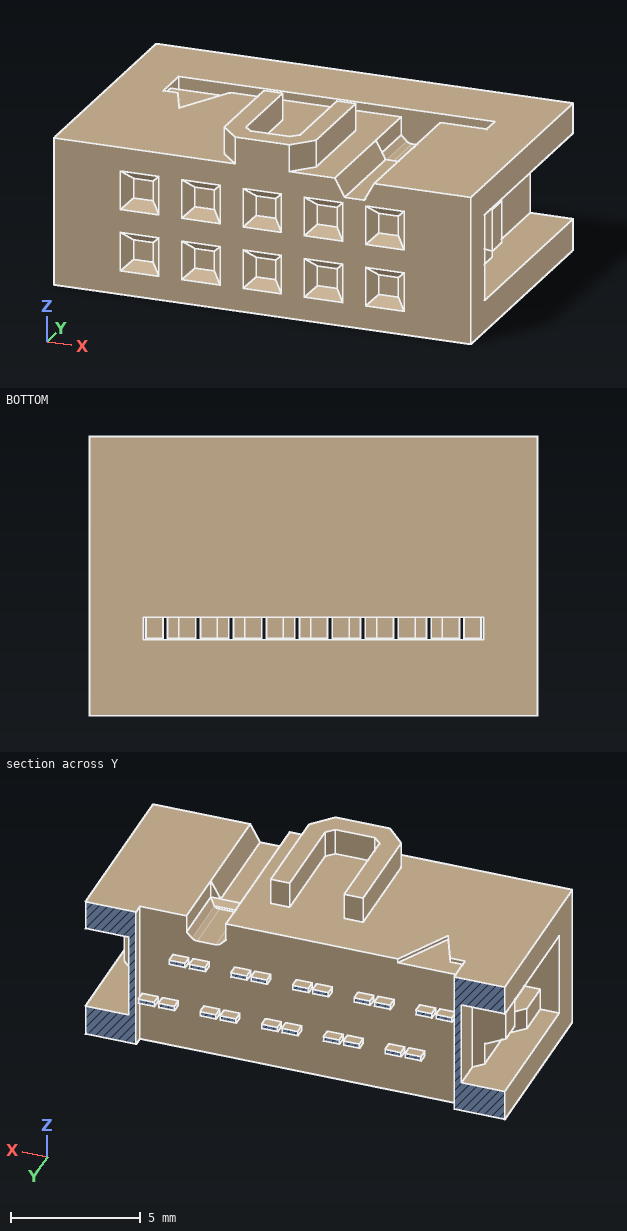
import cadquery as cq
import math

length = 17.3
width = 10.8
body_height = 6.09
overall_height = 7.2

pitch = 2.55
columns = 5
rows = 2
socket_mouth = 1.6
socket_floor = 0.81
socket_depth = (socket_mouth - socket_floor) / 2
column_xs = [(i - (columns - 1) / 2) * pitch for i in range(columns)]
row_zs = [body_height / 2 + (i - (rows - 1) / 2) * pitch for i in range(rows)]

key_width = 3.8
key_length = 5.02
key_leg = 0.78
key_web = 0.83
key_inner_chamfer = 0.31

slot_length = 13.11
slot_front = 6.99
slot_back = 7.85

fork_width = 1.49
fork_slit = 0.17
fork_tip_gap = 0.05
fork_thickness = 0.2
fork_spacing = 2.08
fork_root = 0.17

mark_depth = 0.17
mark_left = -slot_length / 2
mark_shoulder = 0.6
mark_shoulder_y = 6.23
mark_tip = (-5.31, 4.75)
mark_right = -4.08

groove_x = 3.82
groove_top = 1.63
groove_floor = 0.81
groove_depth = 0.75
trough_front = 4.32
trough_wall = groove_depth
trough_chamfer = 0.22
trough_arc_width = 0.2
trough_arc_angle = math.radians(45)

recess_front = 1.45
recess_bottom = 1.3
recess_height = 3.55
window_bottom = 2.21
window_height = 1.73
rear_depth = 1.78
middle_depth = 1.42
front_depth = 0.78
latch_y = 6.23
catch_front = 4.25
catch_undercut = 0.17
block_rear = 3.56
relief_width = 0.14
relief_depth = 0.17


def make_key():
    half = key_width / 2
    inner = half - key_leg
    outline = [
        (-inner, 0),
        (inner, 0),
        (half, key_web),
        (half, key_length),
        (inner, key_length),
        (inner, key_web + key_inner_chamfer),
        (inner - key_inner_chamfer, key_web),
        (key_inner_chamfer - inner, key_web),
        (-inner, key_web + key_inner_chamfer),
        (-inner, key_length),
        (-half, key_length),
        (-half, key_web),
    ]
    return cq.Workplane("XY").polyline(outline).close().extrude(overall_height)


def make_socket(x, z):
    return (
        cq.Workplane("XZ", origin=(x, 0, z))
        .rect(socket_mouth, socket_mouth)
        .workplane(offset=-socket_depth)
        .rect(socket_floor, socket_floor)
        .loft(ruled=True)
    )


def make_slot():
    depth = slot_back - slot_front
    slot = cq.Workplane("XY").box(slot_length, depth, body_height, centered=(True, False, False))
    return slot.translate((0, slot_front, 0))


def make_fork(x, z):
    tip = slot_back - fork_tip_gap
    reach = tip - slot_front
    plate = cq.Workplane("XY").box(fork_width, reach + fork_root, fork_thickness)
    plate = plate.translate((x, tip - (reach + fork_root) / 2, z))
    slit = cq.Workplane("XY").box(fork_slit, reach, fork_thickness).translate((x, slot_front + reach / 2, z))
    return plate.cut(slit)


def make_mark():
    outline = [
        (mark_left, slot_front),
        (mark_left, mark_shoulder_y),
        (mark_left + mark_shoulder, mark_shoulder_y),
        mark_tip,
        (mark_right, slot_front),
    ]
    return cq.Workplane("XY", origin=(0, 0, body_height)).polyline(outline).close().extrude(-mark_depth)


def make_groove():
    outline = [
        (-groove_top / 2, 0),
        (groove_top / 2, 0),
        (groove_floor / 2, -groove_depth),
        (-groove_floor / 2, -groove_depth),
    ]
    front = cq.Workplane("XZ", origin=(groove_x, 0, body_height))
    return front.polyline(outline).close().extrude(-slot_front)


def make_trough():
    """Straight-walled pocket, mitred below, whose floor meets the 45 degree flanks in tangent arcs."""
    trough_length = slot_front - trough_front
    half = groove_top / 2
    flank = half - trough_chamfer
    floor = flank - trough_arc_width
    radius = trough_arc_width / math.sin(trough_arc_angle)
    flank_z = -trough_wall - trough_chamfer
    floor_z = flank_z - radius * (1 - math.cos(trough_arc_angle))
    mid_x = floor + radius * math.sin(trough_arc_angle / 2)
    mid_z = floor_z + radius * (1 - math.cos(trough_arc_angle / 2))
    section = (
        cq.Workplane("XZ", origin=(groove_x, trough_front, body_height))
        .moveTo(-half, 0)
        .lineTo(half, 0)
        .lineTo(half, -trough_wall)
        .lineTo(flank, flank_z)
        .threePointArc((mid_x, mid_z), (floor, floor_z))
        .lineTo(-floor, floor_z)
        .threePointArc((-mid_x, mid_z), (-flank, flank_z))
        .lineTo(-half, -trough_wall)
        .close()
        .extrude(-trough_length)
    )
    end_profile = [
        (trough_front, 0),
        (slot_front, 0),
        (slot_front, floor_z),
        (trough_front + trough_chamfer, floor_z),
        (trough_front + trough_chamfer, flank_z),
        (trough_front, -trough_wall),
    ]
    side = cq.Workplane("YZ", origin=(groove_x - half, 0, body_height))
    end_shape = side.polyline(end_profile).close().extrude(groove_top)
    return section.intersect(end_shape)


def make_latch_recess():
    """Recess for the -X end face, stepped in depth along Y by 45 degree ramps.

    A central window deepens its front part, and an undercut catch stands in the window.
    """
    face = -length / 2
    rear = face + rear_depth
    middle = face + middle_depth
    front = face + front_depth
    ramp_end = latch_y - (rear_depth - middle_depth)
    block_front = block_rear - (middle_depth - front_depth)
    steps = [
        (face, width),
        (rear, width),
        (rear, latch_y),
        (middle, ramp_end),
        (middle, block_rear),
        (front, block_front),
        (front, recess_front),
        (face, recess_front),
    ]
    recess = cq.Workplane("XY", origin=(0, 0, recess_bottom)).polyline(steps).close().extrude(recess_height)

    window = [
        (face, block_rear),
        (middle, block_rear),
        (middle, recess_front + relief_width),
        (middle + relief_depth, recess_front + relief_width),
        (middle + relief_depth, recess_front),
        (face, recess_front),
    ]
    catch = [
        (middle, ramp_end),
        (front, latch_y - (rear_depth - front_depth)),
        (front, catch_front),
        (middle, catch_front + catch_undercut),
    ]
    level = cq.Workplane("XY", origin=(0, 0, window_bottom))
    recess = recess.union(level.polyline(window).close().extrude(window_height))
    return recess.cut(level.polyline(catch).close().extrude(window_height))


body = cq.Workplane("XY").box(length, width, body_height, centered=(True, False, False))
body = body.union(make_key())

for x in column_xs:
    for z in row_zs:
        body = body.cut(make_socket(x, z))

body = body.cut(make_slot()).cut(make_mark()).cut(make_groove()).cut(make_trough())

recess = make_latch_recess()
body = body.cut(recess).cut(recess.mirror("YZ"))

lower_z = (body_height - fork_spacing) / 2
upper_z = (body_height + fork_spacing) / 2
for x in column_xs:
    body = body.union(make_fork(x + pitch / 4, lower_z))
    body = body.union(make_fork(x - pitch / 4, upper_z))

result = body